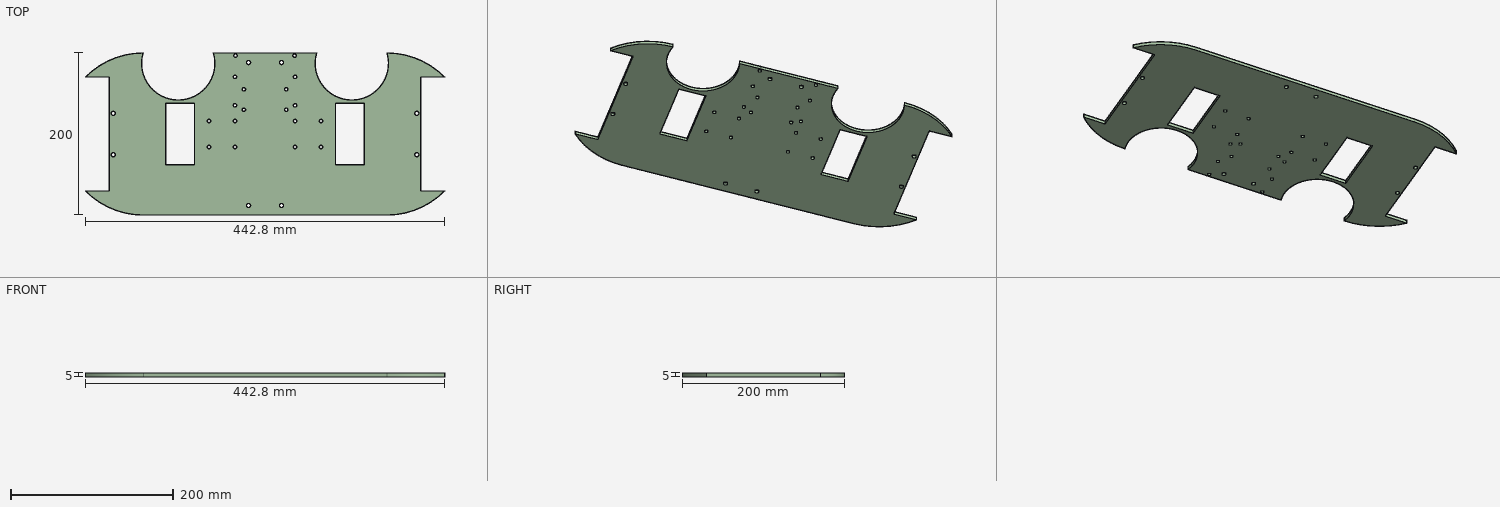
import cadquery as cq
import math

THICKNESS = 5.0
END_RADIUS = 100.0
END_CENTRE_X = 150.0

NOTCH_WIDTH = 140.0
NOTCH_FLOOR_X = 191.95

BAY_RADIUS = 45.0
BAY_X = 106.9
BAY_Y = 87.0

WINDOW_LENGTH_X = 35.0
WINDOW_LENGTH_Y = 75.4
WINDOW_X = 104.5

LARGE_HOLE = 4.9
SMALL_HOLE = 4.0

EDGE_HOLE_X = 20.3
EDGE_HOLE_Y = 88.05

END_HOLE_X = 187.0
END_HOLE_Y = 25.45

SQUARE_PITCH = 32.0
SQUARE_CENTRE_X = 53.0

TOP_HOLE = (36.4, 96.5)
UPPER_HOLE = (37.0, 70.5)
LOWER_HOLE = (37.0, 35.4)

INNER_HOLE_X = 26.0
INNER_HOLE_UPPER_Y = 55.1
INNER_HOLE_PITCH = 25.2


def mirrored(points):
    """Return the points together with their mirror images across X = 0."""
    return [(side * x, y) for x, y in points for side in (-1, 1)]


def make_blank():
    """Rounded-end plate with the notches already cut out of its outline."""
    half_notch = NOTCH_WIDTH / 2
    tip_x = END_CENTRE_X + math.sqrt(END_RADIUS**2 - half_notch**2)
    half_angle = math.asin(half_notch / END_RADIUS)
    mid_angle = (half_angle + math.pi / 2) / 2
    mid_x = END_CENTRE_X + END_RADIUS * math.cos(mid_angle)
    mid_y = END_RADIUS * math.sin(mid_angle)
    return (
        cq.Workplane("XY")
        .moveTo(-END_CENTRE_X, -END_RADIUS)
        .lineTo(END_CENTRE_X, -END_RADIUS)
        .threePointArc((mid_x, -mid_y), (tip_x, -half_notch))
        .lineTo(NOTCH_FLOOR_X, -half_notch)
        .lineTo(NOTCH_FLOOR_X, half_notch)
        .lineTo(tip_x, half_notch)
        .threePointArc((mid_x, mid_y), (END_CENTRE_X, END_RADIUS))
        .lineTo(-END_CENTRE_X, END_RADIUS)
        .threePointArc((-mid_x, mid_y), (-tip_x, half_notch))
        .lineTo(-NOTCH_FLOOR_X, half_notch)
        .lineTo(-NOTCH_FLOOR_X, -half_notch)
        .lineTo(-tip_x, -half_notch)
        .threePointArc((-mid_x, -mid_y), (-END_CENTRE_X, -END_RADIUS))
        .close()
        .extrude(THICKNESS)
    )


def round_cutters(points, diameter):
    """Through-thickness cylinders at the points and their mirror images."""
    return cq.Workplane("XY").pushPoints(mirrored(points)).circle(diameter / 2).extrude(THICKNESS)


def window_cutters():
    """Through-thickness boxes for the two rectangular windows."""
    return (
        cq.Workplane("XY")
        .pushPoints(mirrored([(WINDOW_X, 0)]))
        .rect(WINDOW_LENGTH_X, WINDOW_LENGTH_Y)
        .extrude(THICKNESS)
    )


def square_pattern():
    """Corners of the four-hole square on the +X side."""
    half = SQUARE_PITCH / 2
    return [(SQUARE_CENTRE_X + dx, dy) for dx in (-half, half) for dy in (-half, half)]


large_holes = [
    (EDGE_HOLE_X, -EDGE_HOLE_Y),
    (EDGE_HOLE_X, EDGE_HOLE_Y),
    (END_HOLE_X, -END_HOLE_Y),
    (END_HOLE_X, END_HOLE_Y),
]
inner_holes = [
    (INNER_HOLE_X, INNER_HOLE_UPPER_Y),
    (INNER_HOLE_X, INNER_HOLE_UPPER_Y - INNER_HOLE_PITCH),
]
small_holes = [TOP_HOLE, UPPER_HOLE, LOWER_HOLE] + inner_holes + square_pattern()

result = (
    make_blank()
    .cut(round_cutters([(BAY_X, BAY_Y)], 2 * BAY_RADIUS))
    .cut(window_cutters())
    .cut(round_cutters(large_holes, LARGE_HOLE))
    .cut(round_cutters(small_holes, SMALL_HOLE))
)